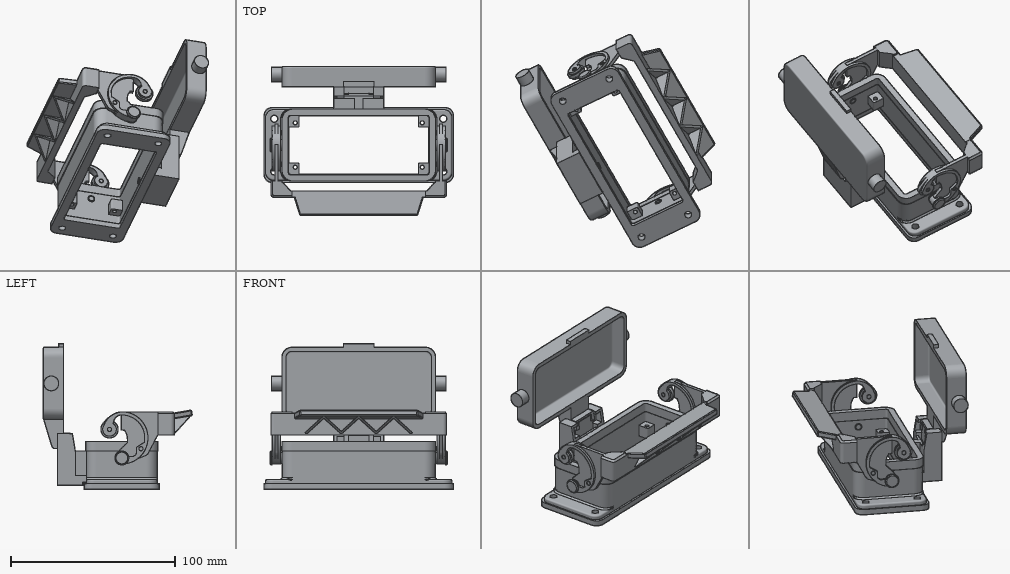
import cadquery as cq
import math

plate_length, plate_width, plate_height = 115.5, 45.9, 3.5
plate_corner = 5.1
flange_length, flange_top = 113.7, 6.0
flange_edge = 1.0
body_length, body_width, body_top = 93.3, 43.2, 29.2
body_corner = 6.4
foot_flare, foot_slope = 1.0, 0.99
rim_length, rim_width, rim_bottom = 93.8, 44.0, 23.5
rim_corner = 6.4
opening_length, opening_width, opening_corner = 85.0, 35.3, 1.4
cavity_step = 0.5
mount_x, mount_y, mount_diameter = 51.5, 16.0, 4.2
post_x_size, post_y_size = 6.2, 6.8
post_bottom, post_top, post_corner = 9.2, 16.6, 0.9
post_hole_x, post_hole_y, post_hole_diameter = 38.7, 13.5, 2.3

pivot_z = 19.0
shank_radius, shank_chamfer = 2.1, 0.5
pin_head_radius, pin_head_height, pin_head_chamfer = 4.3, 1.4, 0.7
pin_collar_radius = 3.5

arm_x = 50.1
cam_thickness, web_thickness = 5.2, 2.1
cam_center_z, cam_radius, cam_band = 31.3, 15.9, 2.0
eye_radius = pivot_z - (cam_center_z - cam_radius)
hook_y, hook_z = 7.5, 36.5
hook_web_radius, hook_cam_radius = 5.3, 4.2
hook_back_angle = 35
throat_tip, throat_bend = (5.0, 40.8), (3.7, 43.7)
hook_shoulder = (6.9, 44.6)
band_end_angle = 11.2
lobe_start, lobe_bend, lobe_side = (-9.9, 26.2), (-9.1, 25.6), (-8.9, 24.7)
lobe_corner, lobe_corner_bend, lobe_end = (-8.9, 22.6), (-8.1, 20.7), (-6.1, 20.1)
web_rear_y, web_notch_z = 0.3, 36.0
web_heel, web_heel_bend, web_heel_end, web_foot = (-16.5, 22.9), (-15.4, 21.1), (-13.5, 20.2), (-6.9, 17.5)
web_ankle, web_throat = (1.7, 23.5), (-3.5, 28.5)
web_bay_low, web_bay_bend, web_bay_high = (-3.2, 32.0), (-2.5, 34.3), (-1.6, 35.9)
spot_y, spot_z, spot_radius, spot_depth = -11.7, 24.7, 1.3, 0.5
lever_top = cam_center_z + cam_radius
bar_bottom = 33.0
bar_half_length, bar_front, bar_rear, bar_end_rear = 53.6, -32.0, -28.0, -22
bar_corner, bar_edge = 2.1, 1.2
bar_end_inner, bar_inner = 47.0, 41.5
bar_notch_half = 40.7
lip_half_root, lip_half_tip = 39.3, 35.8
lip_tip_y, lip_root_z, lip_thickness, lip_angle, lip_edge = -43.1, 46.5, 3.6, 10, 0.6
rib_pitch, rib_thickness, rib_count = 10.6, 1.3, 6
rib_low, rib_high = 34.4, 44.1
rib_tip_inset, rib_edge = 1.2, 0.6

bracket_length, bracket_bottom, bracket_top = 30.5, 2.3, 33.8
bracket_back, bracket_front, bracket_top_front = 39.3, 28.3, 30
foot_front, foot_relief_top, foot_top = 23.8, 4.3, 8.4
bracket_rib = 5.4
slot_length, slot_bottom, slot_front = 17.8, 20.8, 29.9
pocket_outer, pocket_bottom, pocket_top, pocket_back = 13.2, 25.4, 32.1, 32.9
spigot_z = 7.2

cover_back, cover_front = 47.9, 35.5
cover_length = 93.8
cover_bottom, cover_top = 42.4, 86.6
cover_wall, cover_depth, cover_edge, floor_fillet = 2.5, 9.2, 1.0, 1.0
tab_length, tab_depth, tab_top = 18.7, 3.1, 88.7
stud_radius, stud_end, stud_y = 4.5, 53.2, 43.0
hinge_arm_bottom, hinge_arm_root, hinge_arm_heel = 24.8, 47.6, (42.6, 26.0)
hinge_arm_end = 41.6
toe_top_front, toe_top, toe_recess_top, toe_leg_bottom = 31.5, 34.2, 32.7, 28.2
toe_recess_length, toe_recess_depth = 12.5, 2.1


def box(x_range, y_range, z_range):
    """Box between the given pairs of limits."""
    size = [high - low for low, high in (x_range, y_range, z_range)]
    return cq.Workplane("XY").box(*size, centered=False).translate((x_range[0], y_range[0], z_range[0]))


def rounded_block(length, width, corner, bottom, top):
    """Upright block centred on the Z axis, with round vertical edges."""
    block = cq.Workplane("XY").workplane(offset=bottom).rect(length, width).extrude(top - bottom)
    return block.edges("|Z").fillet(corner)


def cylinder_x(radius, x_start, x_end, y, z):
    """Cylinder along X."""
    return cq.Workplane("YZ").workplane(offset=x_start).center(y, z).circle(radius).extrude(x_end - x_start)


def extrude_x(outline, thickness, x_middle=0):
    """Closed outline in the YZ plane, thickened evenly to both sides of x_middle."""
    return outline.extrude(thickness / 2, both=True).translate((x_middle, 0, 0))


def foot_fillet():
    """Sloped foot where the end walls meet the flange."""
    foot = rounded_block(
        body_length + 2 * foot_flare, body_width + 2 * foot_flare, body_corner + foot_flare,
        flange_top, flange_top + foot_flare,
    )
    foot = foot.faces(">Z").edges().chamfer(foot_flare * foot_slope)
    return foot.intersect(rounded_block(flange_length, body_width, plate_corner, 0, body_top))


def corner_post(x_sign, y_sign):
    """Drilled post in one inner corner of the housing."""
    x_outer = (opening_length + body_length) / 4
    y_outer = (opening_width + body_width) / 4
    x_inner = opening_length / 2 - post_x_size
    y_inner = opening_width / 2 - post_y_size
    post = box((x_inner, x_outer), (y_inner, y_outer), (post_bottom, post_top))
    post = post.edges("|Z and <X and <Y").fillet(post_corner)
    post = post.faces(">Z").workplane(origin=(post_hole_x, post_hole_y, post_top)).hole(post_hole_diameter)
    if x_sign < 0:
        post = post.mirror("YZ")
    if y_sign < 0:
        post = post.mirror("XZ")
    return post


def make_housing():
    housing = rounded_block(plate_length, plate_width, plate_corner, 0, plate_height)
    flange = rounded_block(flange_length, body_width, plate_corner, plate_height, flange_top)
    housing = housing.union(flange.faces(">Z").edges().fillet(flange_edge))
    housing = housing.union(foot_fillet())
    housing = housing.union(rounded_block(body_length, body_width, body_corner, plate_height, body_top))
    housing = housing.union(rounded_block(rim_length, rim_width, rim_corner, rim_bottom, body_top))
    for level, floor in enumerate((0, plate_height, rim_bottom)):
        growth = level * cavity_step
        housing = housing.cut(
            rounded_block(opening_length + growth, opening_width + growth, opening_corner, floor, body_top)
        )
    for x_sign in (-1, 1):
        for y_sign in (-1, 1):
            housing = housing.union(corner_post(x_sign, y_sign))
    mount_holes = (
        cq.Workplane("XY").rect(2 * mount_x, 2 * mount_y, forConstruction=True).vertices()
        .circle(mount_diameter / 2).extrude(flange_top)
    )
    housing = housing.cut(mount_holes)
    housing = housing.cut(cylinder_x(shank_radius, -body_length / 2, body_length / 2, 0, pivot_z))
    return housing.cut(bracket_spigot())


def make_pin(side):
    """Headed pin through one lever arm, with its end flush with the inside of the end wall."""
    inner_x = (opening_length + cavity_step) / 2
    head_x = arm_x + cam_thickness / 2
    shank = cylinder_x(shank_radius, inner_x, head_x, 0, pivot_z).faces("<X").chamfer(shank_chamfer)
    collar = cylinder_x(pin_collar_radius, body_length / 2, arm_x - cam_thickness / 2, 0, pivot_z)
    head = cylinder_x(pin_head_radius, head_x, head_x + pin_head_height, 0, pivot_z)
    head = head.faces(">X").edges().chamfer(pin_head_chamfer)
    pin = shank.union(collar).union(head)
    return pin if side > 0 else pin.mirror("YZ")


def cam_shape(hook_radius, thickness):
    """Curved band from the pivot eye, around the front and over the top to the round hook end."""
    inner_radius = cam_radius - cam_band
    back_angle = math.radians(hook_back_angle)
    hook_back = (hook_y + hook_radius * math.cos(back_angle), hook_z + hook_radius * math.sin(back_angle))
    band_middle, band_end = [
        (-inner_radius * math.cos(angle), cam_center_z + inner_radius * math.sin(angle))
        for angle in (math.radians(45), -math.radians(band_end_angle))
    ]
    outline = (
        cq.Workplane("YZ").moveTo(0, cam_center_z - cam_radius)
        .threePointArc((-cam_radius, cam_center_z), (0, lever_top))
        .threePointArc(hook_shoulder, hook_back)
        .lineTo(hook_y, hook_z)
        .lineTo(*throat_tip)
        .threePointArc(throat_bend, (0, cam_center_z + inner_radius))
        .threePointArc(band_middle, band_end)
        .lineTo(*lobe_start)
        .threePointArc(lobe_bend, lobe_side)
        .lineTo(*lobe_corner)
        .threePointArc(lobe_corner_bend, lobe_end)
        .lineTo(0, lobe_end[1])
        .close()
    )
    cam = extrude_x(outline, thickness, arm_x)
    for radius, y, z in ((hook_radius, hook_y, hook_z), (eye_radius, 0, pivot_z)):
        cam = cam.union(cylinder_x(radius, arm_x - thickness / 2, arm_x + thickness / 2, y, z))
    return cam


def arm_web():
    """Flat web that fills the cam band and reaches forward to the handle."""
    outline = (
        cq.Workplane("YZ").moveTo(web_rear_y, lever_top)
        .lineTo(bar_end_rear, lever_top)
        .lineTo(bar_end_rear, bar_bottom)
        .lineTo(*web_heel)
        .threePointArc(web_heel_bend, web_heel_end)
        .lineTo(*web_foot)
        .lineTo(0, pivot_z)
        .lineTo(*web_ankle)
        .lineTo(*web_throat)
        .lineTo(*web_bay_low)
        .threePointArc(web_bay_bend, web_bay_high)
        .lineTo(web_rear_y, web_notch_z)
        .close()
    )
    return extrude_x(outline, web_thickness, arm_x)


def make_arm():
    """Right-hand lever arm."""
    arm = cam_shape(hook_cam_radius, cam_thickness)
    arm = arm.union(cam_shape(hook_web_radius, web_thickness)).union(arm_web())
    inner_face = arm_x - cam_thickness / 2
    outer_face = arm_x + cam_thickness / 2
    for y, z in ((hook_y, hook_z), (spot_y, spot_z)):
        arm = arm.union(cylinder_x(spot_radius, inner_face - spot_depth, inner_face, y, z))
        arm = arm.cut(cylinder_x(spot_radius, outer_face - spot_depth, outer_face, y, z))
    return arm.cut(cylinder_x(shank_radius, inner_face, outer_face, 0, pivot_z))


def lip_top(y):
    """Height of the sloping top of the lip."""
    return lip_root_z + (bar_front - y) * math.tan(math.radians(lip_angle))


def make_bar():
    """Handle bar with its two end blocks turned back towards the arms."""
    bar = (
        cq.Workplane("XY").workplane(offset=bar_bottom)
        .moveTo(-bar_half_length, bar_front)
        .lineTo(bar_half_length, bar_front)
        .lineTo(bar_half_length, bar_end_rear)
        .lineTo(bar_end_inner, bar_end_rear)
        .lineTo(bar_inner, bar_rear)
        .lineTo(-bar_inner, bar_rear)
        .lineTo(-bar_end_inner, bar_end_rear)
        .lineTo(-bar_half_length, bar_end_rear)
        .close().extrude(lever_top - bar_bottom)
    )
    bar = bar.edges("|Z and <Y").fillet(bar_corner)
    bar = bar.faces(">Z").edges("<Y or <X or >X").chamfer(bar_edge)
    above_lip = (
        cq.Workplane("YZ")
        .polyline([
            (bar_rear, lip_top(bar_rear)), (bar_front, lip_top(bar_front)),
            (bar_front, lever_top), (bar_rear, lever_top),
        ]).close()
    )
    return bar.cut(extrude_x(above_lip, 2 * bar_notch_half))


def make_lip():
    """Finger lip sloping up and forward from the bar, narrower at its tip."""
    slope = math.radians(lip_angle)
    drop_y, drop_z = lip_thickness * math.sin(slope), lip_thickness * math.cos(slope)
    tip_top_y = lip_tip_y + drop_y
    profile = (
        cq.Workplane("YZ")
        .polyline([
            (bar_rear, lip_top(bar_rear)), (tip_top_y, lip_top(tip_top_y)),
            (lip_tip_y, lip_top(tip_top_y) - drop_z), (bar_rear, lip_top(bar_rear) - lip_thickness),
        ]).close()
    )
    plan = (
        cq.Workplane("XY")
        .polyline([
            (-lip_half_root, bar_rear), (-lip_half_root, bar_front), (-lip_half_tip, lip_tip_y),
            (lip_half_tip, lip_tip_y), (lip_half_root, bar_front), (lip_half_root, bar_rear),
        ]).close().extrude(2 * lever_top)
    )
    lip = extrude_x(profile, 2 * lip_half_root).intersect(plan)
    front_edges = cq.selectors.BoxSelector(
        (-2 * lip_half_root, lip_tip_y - lip_thickness, 0),
        (2 * lip_half_root, bar_front - lip_thickness, 2 * lever_top),
    )
    return lip.edges(front_edges).chamfer(lip_edge)


def make_ribs():
    """Zigzag of webs under the lip, tapering forward from the bar to the lip tip."""
    side = (
        cq.Workplane("YZ")
        .polyline([
            (bar_front, rib_low - rib_edge),
            (lip_tip_y + rib_tip_inset, rib_high + rib_edge),
            (bar_front, rib_high + rib_edge),
        ]).close()
    )
    wedge = extrude_x(side, 2 * lip_half_root)
    run_angle = math.degrees(math.atan2(rib_high - rib_low, rib_pitch))
    run_length = math.hypot(rib_high - rib_low, rib_pitch) + rib_thickness
    ribs = None
    for index in range(rib_count):
        x_middle = (index - (rib_count - 1) / 2) * rib_pitch
        angle = run_angle if index % 2 == 0 else -run_angle
        web = cq.Workplane("XY").box(run_length, 2 * (bar_front - lip_tip_y), rib_thickness)
        web = web.rotate((0, 0, 0), (0, 1, 0), -angle)
        web = web.translate((x_middle, bar_front, (rib_low + rib_high) / 2))
        ribs = web if ribs is None else ribs.union(web)
    return ribs.intersect(wedge)


def make_lever():
    arm = make_arm()
    lever = make_bar().union(make_lip()).union(make_ribs())
    return lever.union(arm).union(arm.mirror("YZ"))


def bracket_spigot():
    """Round spigot of the bracket, through the rear wall of the housing."""
    inner_y = (opening_width + cavity_step) / 2
    spigot = cq.Workplane("XZ", origin=(0, inner_y, spigot_z)).circle(shank_radius)
    return spigot.extrude(inner_y - foot_front)


def make_bracket():
    wall_y = body_width / 2
    profile = (
        cq.Workplane("YZ")
        .polyline([
            (bracket_back, bracket_bottom), (foot_front, bracket_bottom), (foot_front, foot_relief_top),
            (wall_y, foot_relief_top), (wall_y, foot_top), (bracket_front, foot_top),
            (bracket_front, rim_bottom), (bracket_top_front, bracket_top), (bracket_back, bracket_top),
        ]).close()
    )
    bracket = extrude_x(profile, bracket_length)
    rib = box((-bracket_rib / 2, bracket_rib / 2), (wall_y, bracket_front), (foot_top, rim_bottom))
    slot = box((-slot_length / 2, slot_length / 2), (slot_front, bracket_back), (slot_bottom, bracket_top))
    slot = slot.union(
        box((-slot_length / 2, slot_length / 2), (bracket_front, slot_front), (rim_bottom, bracket_top))
    )
    bracket = bracket.union(rib).cut(slot)
    pocket = box((slot_length / 2, pocket_outer), (bracket_front, pocket_back), (pocket_bottom, pocket_top))
    bracket = bracket.cut(pocket).cut(pocket.mirror("YZ"))
    return bracket.union(bracket_spigot().faces("<Y").chamfer(shank_chamfer))


def cover_block(inset, y_start, y_end):
    """Block of the cover outline, shrunk by inset on every side."""
    block = box(
        (inset - cover_length / 2, cover_length / 2 - inset),
        (y_start, y_end),
        (cover_bottom + inset, cover_top - inset),
    )
    return block.edges("|Y").fillet(body_corner - inset)


def hinge_arm():
    """Tapered arm under the cover with a forward toe, recessed between two short legs."""
    profile = (
        cq.Workplane("YZ")
        .polyline([
            (cover_front, cover_bottom), (hinge_arm_root, cover_bottom),
            hinge_arm_heel, (hinge_arm_end, hinge_arm_bottom),
            (cover_front, hinge_arm_bottom), (cover_front, slot_bottom),
            (slot_front, slot_bottom), (toe_top_front, toe_top), (cover_front, toe_top),
        ]).close()
    )
    arm = extrude_x(profile, slot_length)
    recess_y = (slot_front, slot_front + toe_recess_depth)
    center_recess = box((-toe_recess_length / 2, toe_recess_length / 2), recess_y, (0, toe_recess_top))
    leg_gap = box((-slot_length / 2, slot_length / 2), recess_y, (0, toe_leg_bottom))
    return arm.cut(center_recess).cut(leg_gap)


def make_cover():
    cover = cover_block(0, cover_front, cover_back).faces(">Y").edges().fillet(cover_edge)
    cavity = cover_block(cover_wall, cover_front, cover_front + cover_depth)
    cover = cover.cut(cavity.faces(">Y").edges().fillet(floor_fillet))
    tab = box((-tab_length / 2, tab_length / 2), (cover_front, cover_front + tab_depth),
              (cover_top - cover_wall, tab_top))
    cover = cover.union(tab)
    stud_z = (cover_bottom + cover_top) / 2
    for side in (-1, 1):
        wall_x = (cover_length - cover_wall) / 2
        cover = cover.union(cylinder_x(stud_radius, side * wall_x, side * stud_end, stud_y, stud_z))
    return cover.union(hinge_arm())


housing = make_housing()
bracket = make_bracket()
cover = make_cover()
lever = make_lever()
pins = [make_pin(side) for side in (-1, 1)]

result = cq.Compound.makeCompound([
    housing.val(), bracket.val(), cover.val(), lever.val(), *[pin.val() for pin in pins],
])